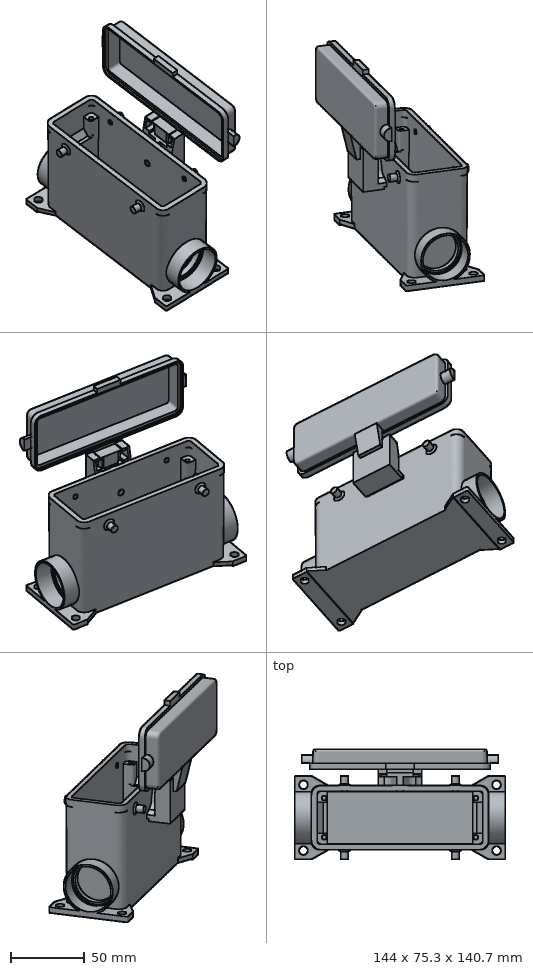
import cadquery as cq


length = 144.0

housing_x = 121.2
housing_y = 44.0
housing_base = 0.7
rim_step = 74.6
housing_top = 79.9
rim_radius = 6.0
shell_radius = 6.5
shell_draft = 0.3
wall = 4.0
long_wall = 3.9
floor_top = 4.2
upper_cavity_radius = 2.2
lower_cavity_radius = 2.9
cavity_x = housing_x - 2 * wall
cavity_y = housing_y - 2 * long_wall

end_wall_inner = 49.5
slope_start = 52.4
end_wall_top = 52.5
slope_top = 57.0
pillar_top = 67.7
pillar_inner_y = 10.7
pillar_edge_radius = 1.5
screw_x = 51.8
screw_y = 13.4
screw_diameter = 3.2
screw_depth = 14.4

entry_z = 20.7
entry_diameter = 35.7
entry_bore_diameter = 32.8
entry_bore_floor = 59.5
entry_ring_diameter = 31.4
entry_ring_depth = 1.2
entry_inner_diameter = 28.5
knockout_thickness = 4.0

foot_y = 57.0
foot_thickness = 4.2
foot_pad_inner = 60.3
wing_tip_x = 49.0
foot_edge_radius = 0.9
foot_hole_x = 66.0
foot_hole_y = 22.5
foot_hole_diameter = 5.8

pin_x = 37.9
pin_z = 70.5
pin_tip_y = foot_y / 2
pin_diameter = 5.3
pin_collar_diameter = 8.6
pin_collar_height = 1.2
rivet_diameter = 3.6
hinge_rivet_diameter = 4.6
hinge_rivet_z = 58.8
rivet_recess = 0.5

block_x = 30.0
block_bottom = 53.4
block_top = 84.7
block_back = 39.0
block_front = 28.0
block_front_top = 30.0
block_slant_base = 74.3
block_ledge_front = 23.6
block_ledge_top = 55.2
pocket_inner = 9.0
pocket_outer = 13.1
pocket_back = 36.0
pocket_roof = 83.1
pocket_floor = 76.3
center_drop = 0.7
notch_back = 30.5
cheek_inner = 6.0
cheek_back = 32.4

pedestal_top_half = 2.3
pedestal_neck_half = 5.3
pedestal_neck_z = 66.0
pedestal_flare_half = 10.7
pedestal_flare_z = 60.3
pedestal_end_z = 58.0
pedestal_arc_sag = 0.3

lid_z = 114.3
flange_x = 123.5
flange_z = 46.0
flange_front = 33.0
flange_back = 37.3
flange_radius = 6.2
lid_x = 119.0
lid_height = 41.8
lid_back = 46.8
lid_radius = 4.2
lid_back_radius = 1.9
rim_recess_inset = 1.2
rim_recess_depth = 1.7
lid_cavity_x = 116.6
lid_cavity_z = 38.9
lid_cavity_back = 45.4
lid_cavity_radius = 2.2
tab_x = 19.5
tab_top = 140.7
ear_x = 134.5
ear_diameter = 9.5
ear_y = 38.2

arm_x = 18.0
arm_bottom = 75.3
arm_root_y = 46.0
arm_tip_y = 41.6
arm_overlap = 0.1


def slab_z(size_x, size_y, radius, z_low, z_high):
    """Upright block with rounded vertical edges."""
    block = cq.Workplane("XY").workplane(offset=z_low).rect(size_x, size_y)
    return block.extrude(z_high - z_low).edges("|Z").fillet(radius)


def drafted_block(size_x, size_y, radius, z_low):
    """Rounded block that narrows slightly from the rim step down to z_low."""
    outline = cq.Sketch().rect(size_x, size_y).vertices().fillet(radius)
    start = cq.Workplane("XY").workplane(offset=rim_step)
    return start.placeSketch(outline).extrude(z_low - rim_step, taper=shell_draft)


def slab_y(size_x, size_z, radius, y_low, y_high):
    """Plate facing Y, centred on the lid, with rounded corners."""
    plate = cq.Workplane("XZ", origin=(0, y_low, lid_z)).rect(size_x, size_z)
    return plate.extrude(y_low - y_high).edges("|Y").fillet(radius)


def box(x_low, x_high, y_low, y_high, z_low, z_high):
    """Plain box between two corners."""
    block = cq.Workplane("XY").box(x_high - x_low, y_high - y_low, z_high - z_low, centered=False)
    return block.translate((x_low, y_low, z_low))


def cylinder_x(diameter, x_start, x_end, y, z):
    """Cylinder along X."""
    return cq.Workplane("YZ", origin=(x_start, y, z)).circle(diameter / 2).extrude(x_end - x_start)


def cylinder_y(diameter, x, z, y_start, y_end):
    """Cylinder along Y."""
    return cq.Workplane("XZ", origin=(x, y_start, z)).circle(diameter / 2).extrude(y_start - y_end)


def both_ends(shape):
    """The shape together with its mirror image at the other end in X."""
    return shape.union(shape.mirror("YZ"))


def both_sides(shape):
    """The shape together with its mirror image on the other side in Y."""
    return shape.union(shape.mirror("XZ"))


def make_shell():
    """Drafted housing wall with a straight rim."""
    rim = slab_z(housing_x, housing_y, rim_radius, rim_step, housing_top)
    body = drafted_block(housing_x, housing_y, shell_radius, housing_base)
    return rim.union(body)


def make_cavity():
    """Inside of the housing, open at the top."""
    upper = slab_z(cavity_x, cavity_y, upper_cavity_radius, rim_step, housing_top)
    lower = drafted_block(cavity_x, cavity_y, lower_cavity_radius, floor_top)
    return upper.union(lower)


def make_end_wall():
    """Thick end wall with a sloped top, and a screw pillar in each corner."""
    outer = cavity_x / 2 + wall / 2
    half_y = cavity_y / 2 + wall / 2
    slope_run = cavity_x / 2 - slope_start
    slope_rise = slope_top - end_wall_top
    outer_top = end_wall_top + slope_rise * (outer - slope_start) / slope_run
    profile = [
        (end_wall_inner, housing_base),
        (end_wall_inner, end_wall_top),
        (slope_start, end_wall_top),
        (outer, outer_top),
        (outer, housing_base),
    ]
    thick_wall = cq.Workplane("XZ", origin=(0, half_y, 0)).polyline(profile).close().extrude(2 * half_y)
    pillar = box(end_wall_inner, outer, pillar_inner_y, half_y, end_wall_top, pillar_top)
    pillar = pillar.edges("|Z and <X and <Y").fillet(pillar_edge_radius)
    screw = cq.Workplane("XY", origin=(screw_x, screw_y, pillar_top)).circle(screw_diameter / 2)
    pillar = pillar.cut(screw.extrude(-screw_depth))
    limits = slab_z(2 * outer, 2 * half_y, lower_cavity_radius + wall / 2, housing_base, pillar_top)
    return thick_wall.union(both_sides(pillar)).intersect(limits)


def make_foot():
    """Foot plate with corner pads and wings that taper into the housing."""
    edge = foot_y / 2
    wing_y = housing_y / 2
    outline = [
        (foot_pad_inner, edge),
        (wing_tip_x, wing_y),
        (wing_tip_x, -wing_y),
        (foot_pad_inner, -edge),
    ]
    wings = cq.Workplane("XY").workplane(offset=housing_base).polyline(outline).close()
    wings = wings.extrude(foot_thickness - housing_base)
    pad = box(foot_pad_inner, length / 2, -edge, edge, 0, foot_thickness)
    pad = pad.edges("|Z and >X").fillet(foot_edge_radius)
    holes = cq.Workplane("XY").pushPoints([(foot_hole_x, foot_hole_y), (foot_hole_x, -foot_hole_y)])
    holes = holes.circle(foot_hole_diameter / 2).extrude(foot_thickness)
    return pad.union(wings).cut(holes)


def make_pin():
    """Locking pin with a conical collar, on the back wall."""
    face = housing_y / 2 - wall / 2
    collar_top = housing_y / 2 + pin_collar_height
    profile = [
        (0, face),
        (pin_collar_diameter / 2, face),
        (pin_collar_diameter / 2, housing_y / 2),
        (pin_diameter / 2, collar_top),
        (pin_diameter / 2, pin_tip_y),
        (0, pin_tip_y),
    ]
    pin = cq.Workplane("XY").polyline(profile).close().revolve(360, (0, 0, 0), (0, 1, 0))
    return pin.translate((pin_x, 0, pin_z))


def make_rivet_recesses():
    """Shallow rivet ends on the inside of the long walls."""
    start = cavity_y / 2
    end = start + rivet_recess
    pins = both_ends(cylinder_y(rivet_diameter, pin_x, pin_z, start, end))
    hinge = cylinder_y(hinge_rivet_diameter, 0, hinge_rivet_z, start, end)
    return both_sides(pins).union(hinge)


def make_hinge_block():
    """Hinge block with a slanted front, two stepped front pockets and a lower, set-back centre."""
    profile = [
        (block_back, block_bottom),
        (block_back, block_top),
        (block_front_top, block_top),
        (block_front, block_slant_base),
        (block_front, block_ledge_top),
        (block_ledge_front, block_ledge_top),
        (block_ledge_front, block_bottom),
    ]
    block = cq.Workplane("YZ").polyline(profile).close().extrude(block_x / 2, both=True)
    pocket = box(pocket_inner, pocket_outer, block_front, pocket_back, pocket_floor, pocket_roof)
    lowered = box(-pocket_inner, pocket_inner, block_front, block_back, block_top - center_drop, block_top)
    notch = box(-pocket_inner, pocket_inner, block_front, notch_back, block_slant_base, block_top)
    cheek = box(cheek_inner, pocket_inner, block_front, cheek_back, block_slant_base, pocket_roof)
    return block.cut(both_ends(pocket.union(cheek))).cut(lowered).cut(notch)


def make_pedestal():
    """Bell-shaped pedestal that carries the hinge block."""
    half = block_x / 2
    start = housing_y / 2 - wall / 2
    middle_half = pedestal_neck_half + pedestal_arc_sag * (pedestal_flare_half - pedestal_neck_half)
    middle_z = pedestal_flare_z + pedestal_arc_sag * (pedestal_neck_z - pedestal_flare_z)
    outline = (
        cq.Workplane("XZ", origin=(0, start, 0))
        .moveTo(-half, block_ledge_top)
        .lineTo(-half, pedestal_end_z)
        .lineTo(-pedestal_flare_half, pedestal_flare_z)
        .threePointArc((-middle_half, middle_z), (-pedestal_neck_half, pedestal_neck_z))
        .lineTo(-pedestal_top_half, block_slant_base)
        .lineTo(pedestal_top_half, block_slant_base)
        .lineTo(pedestal_neck_half, pedestal_neck_z)
        .threePointArc((middle_half, middle_z), (pedestal_flare_half, pedestal_flare_z))
        .lineTo(half, pedestal_end_z)
        .lineTo(half, block_ledge_top)
        .close()
    )
    return outline.extrude(start - block_front)


def make_lid():
    """Open lid: flanged tray with a pull tab, two ears and the hinge arm."""
    tray = slab_y(lid_x, lid_height, lid_radius, flange_front, lid_back)
    tray = tray.faces(">Y").edges().fillet(lid_back_radius)
    flange = slab_y(flange_x, flange_z, flange_radius, flange_front, flange_back)
    tab = box(-tab_x / 2, tab_x / 2, flange_front, flange_back, lid_z, tab_top)
    ears = cylinder_x(ear_diameter, -ear_x / 2, ear_x / 2, ear_y, lid_z)
    ears = ears.cut(box(-length, length, 0, flange_back, 0, length))

    arm_front = block_back - arm_overlap
    arm_shoulder = lid_z - flange_z / 2
    arm_top = lid_z - lid_height / 2 + lid_back_radius
    profile = [
        (arm_root_y, arm_top),
        (arm_root_y, arm_top - lid_back_radius),
        (arm_tip_y, arm_bottom),
        (arm_front, arm_bottom),
        (arm_front, arm_shoulder),
        (flange_front, arm_shoulder),
        (flange_front, arm_top),
    ]
    arm = cq.Workplane("YZ").polyline(profile).close().extrude(arm_x / 2, both=True)

    recess_x = flange_x - 2 * rim_recess_inset
    recess_z = flange_z - 2 * rim_recess_inset
    recess_radius = flange_radius - rim_recess_inset
    recess = slab_y(recess_x, recess_z, recess_radius, flange_front, flange_front + rim_recess_depth)
    cavity = slab_y(lid_cavity_x, lid_cavity_z, lid_cavity_radius, flange_front, lid_cavity_back)
    return tray.union(flange).union(tab).union(ears).union(arm).cut(recess).cut(cavity)


cavity = make_cavity()
shell = make_shell().cut(cavity)
end_wall = make_end_wall()
entry = cylinder_x(entry_diameter, housing_x / 2 - wall, length / 2, 0, entry_z)
foot = make_foot()
for feature in (end_wall, entry, foot):
    shell = shell.union(both_ends(feature))

between_walls = box(-end_wall_inner, end_wall_inner, -housing_y, housing_y, floor_top, housing_top)
shell = shell.cut(cavity.intersect(between_walls))

entry_bore = cylinder_x(entry_bore_diameter, entry_bore_floor, length / 2, 0, entry_z)
ring_floor = entry_bore_floor - entry_ring_depth
entry_ring = cylinder_x(entry_ring_diameter, ring_floor, length / 2, 0, entry_z)
entry_inner = cylinder_x(entry_inner_diameter, end_wall_inner + knockout_thickness, length / 2, 0, entry_z)
shell = shell.cut(both_ends(entry_bore.union(entry_ring).union(entry_inner)))

shell = shell.union(both_sides(both_ends(make_pin()))).cut(make_rivet_recesses())

result = shell.union(make_pedestal()).union(make_hinge_block()).union(make_lid())